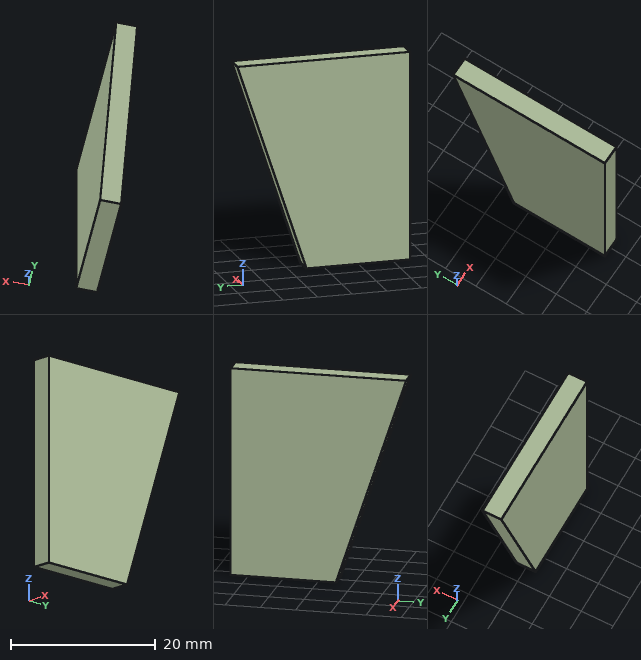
import cadquery as cq

thickness = 3.0
top_length = 25.0
bottom_length = 15.0
height = 30.0


def trapezoid_plate():
    """Plate with a vertical edge at Y = 0 and a slanted edge on the +Y side."""
    outline = [
        (0, 0),
        (bottom_length, 0),
        (top_length, height),
        (0, height),
    ]
    return cq.Workplane("YZ").polyline(outline).close().extrude(thickness)


result = trapezoid_plate()